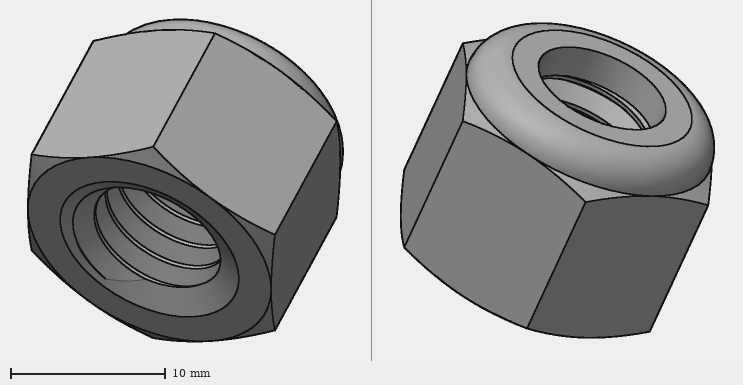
import cadquery as cq
import math

corner_diameter = 19.8
flat_radius = corner_diameter / 2 * math.cos(math.radians(30))
hex_length = 11.5
total_length = 13.8
corner_chamfer_angle = 25.0

collar_length = total_length - hex_length
insert_radius = flat_radius - collar_length

bore_radius = 4.45
thread_root_radius = 5.82
thread_pitch = 1.86
thread_half_angle = 30.0
thread_root_start = 0.24
thread_start_angle = 125.0
cutter_clearance = 0.08
countersink_radius = 6.3
countersink_depth = 0.9


def along_y(shape):
    """Turn a shape built along +Z so that it runs along +Y."""
    return shape.rotate((0, 0, 0), (1, 0, 0), -90)


def make_outer_envelope():
    """Revolved profile that chamfers the hexagon corners and rounds the collar."""
    corner_radius = corner_diameter / 2
    chamfer_length = (corner_radius - flat_radius) * math.tan(math.radians(corner_chamfer_angle))
    arc_offset = collar_length * math.sqrt(0.5)
    return (
        cq.Workplane("XZ")
        .lineTo(flat_radius, 0)
        .lineTo(corner_radius, chamfer_length)
        .lineTo(corner_radius, hex_length - chamfer_length)
        .lineTo(flat_radius, hex_length)
        .threePointArc(
            (insert_radius + arc_offset, hex_length + arc_offset),
            (insert_radius, total_length),
        )
        .lineTo(0, total_length)
        .close()
        .revolve(360, (0, 0), (0, 1))
    )


def make_countersink():
    """Conical lead-in that narrows to the bore."""
    return (
        cq.Workplane("XZ")
        .lineTo(countersink_radius, 0)
        .lineTo(bore_radius, countersink_depth)
        .lineTo(0, countersink_depth)
        .close()
        .revolve(360, (0, 0), (0, 1))
    )


def make_thread_groove():
    """Right-handed V groove that runs from ahead of the nut into the insert pocket."""
    start = thread_root_start - thread_pitch
    inner_radius = bore_radius - cutter_clearance
    half_width = (thread_root_radius - inner_radius) * math.tan(math.radians(thread_half_angle))
    groove_length = hex_length + half_width - start
    helix = cq.Wire.makeHelix(thread_pitch, groove_length, bore_radius)
    return (
        cq.Workplane("XZ")
        .moveTo(inner_radius, -half_width)
        .lineTo(thread_root_radius, 0)
        .lineTo(inner_radius, half_width)
        .close()
        .sweep(cq.Workplane(helix), isFrenet=True)
        .translate((0, 0, start))
        .rotate((0, 0, 0), (0, 0, 1), thread_start_angle)
    )


def make_threaded_bore():
    """Bore and thread groove as one cutting shape, longer than the nut at both ends."""
    overrun = 2 * thread_pitch
    bore = (
        cq.Workplane("XY")
        .workplane(offset=-overrun)
        .circle(bore_radius)
        .extrude(total_length + 2 * overrun)
    )
    return bore.union(make_thread_groove())


def make_nut():
    """Hexagonal nut with a domed collar, a threaded bore and a pocket for the insert."""
    hexagon = (
        cq.Workplane("XY")
        .polygon(6, corner_diameter)
        .extrude(total_length)
        .rotate((0, 0, 0), (0, 0, 1), 30)
    )
    pocket = cq.Workplane("XY").workplane(offset=hex_length).circle(insert_radius).extrude(collar_length)
    nut = hexagon.intersect(make_outer_envelope())
    nut = nut.cut(pocket).cut(make_threaded_bore()).cut(make_countersink())
    return along_y(nut.solids())


def make_insert():
    """Plain locking ring seated in the collar, flush with its end."""
    ring = (
        cq.Workplane("XY")
        .workplane(offset=hex_length)
        .circle(insert_radius)
        .circle(bore_radius)
        .extrude(collar_length)
    )
    return along_y(ring)


nut = make_nut()
insert = make_insert()
result = cq.Compound.makeCompound([nut.val(), insert.val()])